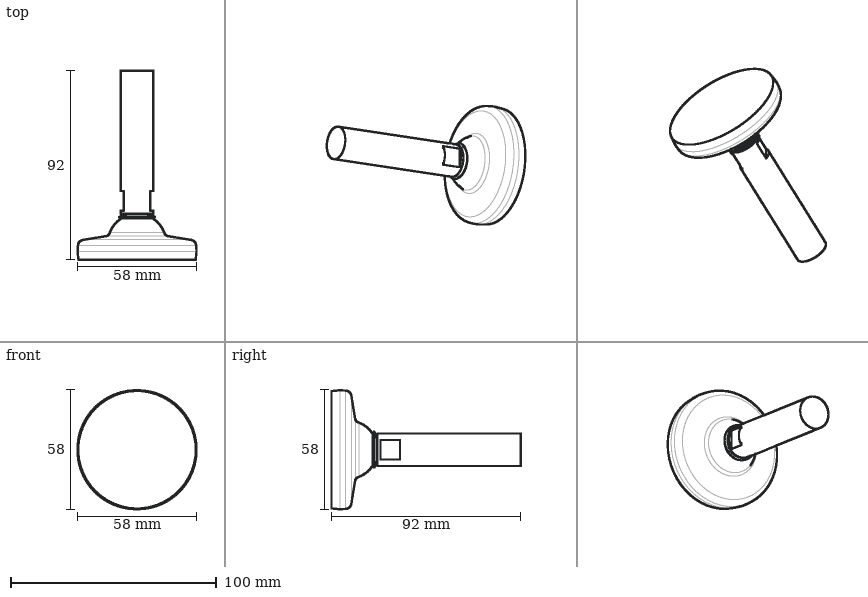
import cadquery as cq
import math

total_length = 92.0
pad_radius = 58.0 / 2
stud_radius = 16.0 / 2

base_radius = 28.5
widest_height = 4.1
rim_top_radius = 28.8
rim_top_height = 7.0
shoulder_outer_radius = 25.9
shoulder_outer_height = 9.8
shoulder_inner_radius = 14.7
shoulder_inner_height = 11.7
rim_round_bulge = 0.7

dome_radius = 14.3
dome_center_height = 8.2
dome_bottom_height = 13.3
dome_top_height = 20.1
fillet_sag = 0.3

lip_radius = 8.7
lip_height = 20.8
lip_top_radius = 5.3
lip_top_height = 22.0
lip_bulge = 0.3

neck_length = 0.3
stud_chamfer = 0.3
flat_distance = 6.5
flat_start = 23.9
flat_length = 9.5


def dome_radius_at(height):
    """Radius of the spherical housing at a height above the base."""
    return math.sqrt(dome_radius**2 - (height - dome_center_height) ** 2)


def bulged_midpoint(start, end, bulge):
    """Midpoint of a segment, moved by bulge to the right of its direction."""
    dx = end[0] - start[0]
    dy = end[1] - start[1]
    length = math.hypot(dx, dy)
    return (
        (start[0] + end[0]) / 2 + bulge * dy / length,
        (start[1] + end[1]) / 2 - bulge * dx / length,
    )


def revolve_about_y(profile):
    return profile.close().revolve(360, (0, 0, 0), (0, 1, 0))


def make_pad():
    """Round foot pad with a spherical housing and a flared lip."""
    rim_top = (rim_top_radius, rim_top_height)
    shoulder_outer = (shoulder_outer_radius, shoulder_outer_height)
    shoulder_inner = (shoulder_inner_radius, shoulder_inner_height)
    dome_bottom = (dome_radius_at(dome_bottom_height), dome_bottom_height)
    dome_middle_height = (dome_bottom_height + dome_top_height) / 2
    dome_middle = (dome_radius_at(dome_middle_height), dome_middle_height)
    dome_top = (dome_radius_at(dome_top_height), dome_top_height)
    lip_edge = (lip_radius, lip_height)
    lip_top = (lip_top_radius, lip_top_height)

    profile = (
        cq.Workplane("XY")
        .lineTo(base_radius, 0)
        .lineTo(pad_radius, widest_height)
        .lineTo(*rim_top)
        .threePointArc(bulged_midpoint(rim_top, shoulder_outer, rim_round_bulge), shoulder_outer)
        .lineTo(*shoulder_inner)
        .threePointArc(bulged_midpoint(shoulder_inner, dome_bottom, -fillet_sag), dome_bottom)
        .threePointArc(dome_middle, dome_top)
        .lineTo(*lip_edge)
        .threePointArc(bulged_midpoint(lip_edge, lip_top, lip_bulge), lip_top)
        .lineTo(0, lip_top_height)
    )
    return revolve_about_y(profile)


def make_stud():
    """Plain round stud on a short neck, with two opposite wrench flats."""
    stud_start = lip_top_height + neck_length
    profile = (
        cq.Workplane("XY")
        .moveTo(0, lip_top_height)
        .lineTo(lip_top_radius, lip_top_height)
        .lineTo(lip_top_radius, stud_start)
        .lineTo(stud_radius - stud_chamfer, stud_start)
        .lineTo(stud_radius, stud_start + stud_chamfer)
        .lineTo(stud_radius, total_length)
        .lineTo(0, total_length)
    )
    stud = revolve_about_y(profile)

    for side in (-1, 1):
        cutter = cq.Workplane("XY").box(stud_radius, flat_length, 2 * stud_radius)
        cutter_x = side * (flat_distance + stud_radius / 2)
        stud = stud.cut(cutter.translate((cutter_x, flat_start + flat_length / 2, 0)))
    return stud


pad = make_pad()
stud = make_stud()

result = cq.Compound.makeCompound([pad.val(), stud.val()])